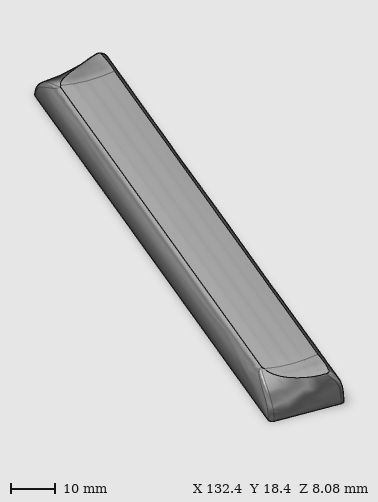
import cadquery as cq

length = 132.4
width = 18.4

half_length = length / 2
half_width = width / 2

blank_height = 8.5
back_shoulder = (8.3, 5.8)
back_top = (5.3, blank_height)
back_tangents = [(-0.04, 1), (-1, 0.3)]
front_shoulder = (-8.7, 4.5)
front_top = (-6.5, 8.0)
front_tangents = [(-1, -0.1), (-0.06, -1)]
crest_back_y = 6.2
crest_front_y = -6.5
crest_z = 7.8
dish_depth = 0.7

end_stations = [
    (half_width, 2.6),
    (4.6, 3.2),
    (-0.9, 8.6),
    (crest_front_y, 14.3),
    (-half_width, 17.0),
]
end_crown = 8.3
corner_radius = 1.0
corner_low = 0.8
corner_high = 7.3

middle_end_inset = 9.3
tip_overrun = 1.3
dish_rises = [(middle_end_inset, 0.0), (5.3, -0.1), (2.1, 0.3), (-tip_overrun, 1.0)]
cutter_top = 13.2


def make_blank():
    """Full-length bar with the rounded back and front, before the dish is cut."""
    return (
        cq.Workplane("YZ", origin=(-half_length, 0, 0))
        .moveTo(-half_width, 0)
        .lineTo(half_width, 0)
        .spline([back_shoulder, back_top], tangents=back_tangents, includeCurrent=True)
        .lineTo(front_top[0], blank_height)
        .lineTo(*front_top)
        .spline([front_shoulder, (-half_width, 0)], tangents=front_tangents, includeCurrent=True)
        .close()
        .extrude(length)
    )


def end_outline(y, reach):
    """Lengthwise outline at one Y, with a quarter ellipse at each end."""
    flat_end = half_length - reach
    return (
        cq.Workplane("XZ", origin=(0, y, 0))
        .moveTo(-half_length, 0)
        .lineTo(half_length, 0)
        .ellipseArc(reach, end_crown, 0, 90, startAtCurrent=True)
        .lineTo(-flat_end, end_crown)
        .ellipseArc(reach, end_crown, 90, 180, startAtCurrent=True)
        .close()
        .val()
    )


def make_end_envelope():
    """Solid whose ends rake back progressively toward the front."""
    return cq.Workplane(cq.Solid.makeLoft([end_outline(*station) for station in end_stations]))


def dish_section(x, rise):
    """Closed section of the dish cutter at one X."""
    middle_y = (crest_back_y + crest_front_y) / 2
    half_span = (crest_back_y - crest_front_y) / 2
    radius = (half_span**2 + dish_depth**2) / (2 * dish_depth)
    bottom_z = crest_z - dish_depth + rise
    edge_z = bottom_z + radius - (radius**2 - half_width**2) ** 0.5
    return (
        cq.Workplane("YZ", origin=(x, 0, 0))
        .moveTo(middle_y - half_width, edge_z)
        .threePointArc((middle_y, bottom_z), (middle_y + half_width, edge_z))
        .lineTo(middle_y + half_width, cutter_top)
        .lineTo(middle_y - half_width, cutter_top)
        .close()
    )


def make_dish_cutters():
    """Straight dish along the middle with a curved continuation at each tip."""
    middle_end = half_length - middle_end_inset
    middle = dish_section(-middle_end, 0).extrude(2 * middle_end)
    sections = [dish_section(half_length - inset, rise).val() for inset, rise in dish_rises]
    tip = cq.Workplane(cq.Solid.makeLoft(sections))
    return middle, tip, tip.mirror("YZ")


def corner_edges(end_side, face_side):
    """Selector for the upright edge where an end meets the front or back face, by its midpoint."""
    inner = (end_side * (half_length - middle_end_inset), face_side * half_width / 2, corner_low)
    outer = (end_side * (half_length + tip_overrun), face_side * (half_width + tip_overrun), corner_high)
    return cq.selectors.BoxSelector(inner, outer)


body = make_blank().intersect(make_end_envelope())
back_corners = corner_edges(-1, 1) + corner_edges(1, 1)
front_corners = corner_edges(-1, -1) + corner_edges(1, -1)
body = body.edges(back_corners + front_corners).fillet(corner_radius)
for cutter in make_dish_cutters():
    body = body.cut(cutter)
result = body